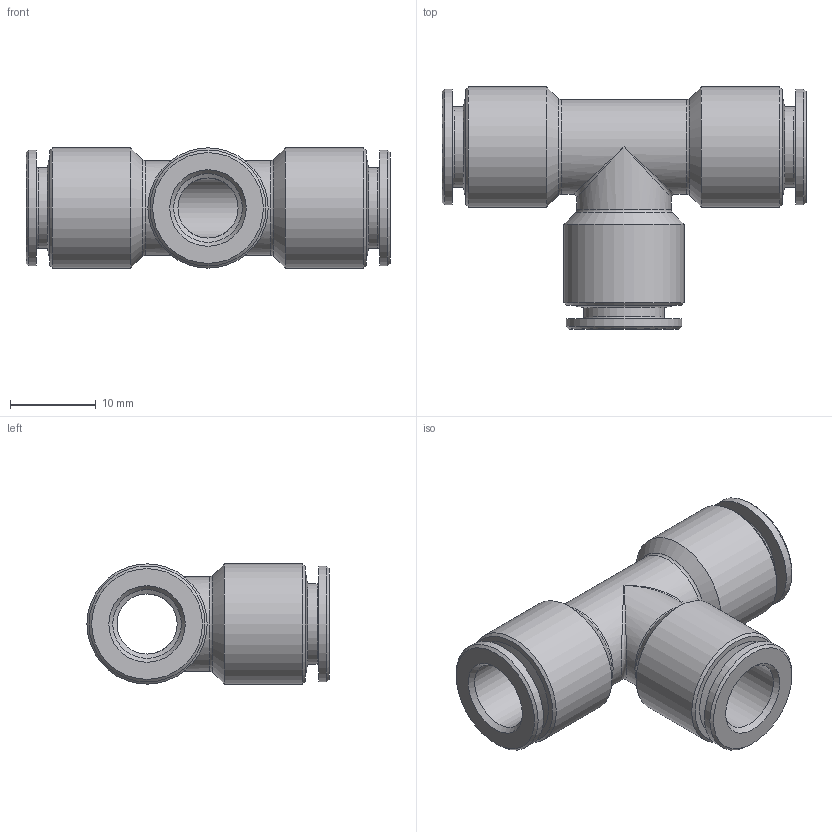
import cadquery as cq
import math


PIPE_RADIUS = 5.5
PIPE_BORE_RADIUS = 3.5
CROTCH_FILLET = 0.4

BODY_RADIUS = 7.0
BODY_START = 9.0
BODY_CHAMFER_START = 18.15
BODY_CHAMFER = 0.3
END_FACE_INNER_RADIUS = 6.0
END_FACE_RISE = 0.25
SHOULDER_ANGLE = math.radians(45)
SHOULDER_START = BODY_START - (BODY_RADIUS - PIPE_RADIUS) / math.tan(SHOULDER_ANGLE)
SHOULDER_FILLET = 0.5

PORT_LENGTH = 21.2
FLANGE_RADIUS = 6.75
FLANGE_THICKNESS = 1.2
FLANGE_CHAMFER = 0.3
NECK_RADIUS = 4.7
NECK_FILLET = 0.2

TUBE_RADIUS = 4.0
ENTRY_CHAMFER_WIDTH = 0.45
ENTRY_CHAMFER_DEPTH = 0.6
SOCKET_STOP = 7.0
SOCKET_CONE_LENGTH = 0.3

BRANCH_ANGLE = 270
PORT_ANGLES = (0, 180, BRANCH_ANGLE)


def revolve_about_x(profile):
    return profile.close().revolve(360, (0, 0, 0), (1, 0, 0))


def turn_to(shape, angle):
    """Turn a shape that points along +X to another direction in the XY plane."""
    return shape.rotate((0, 0, 0), (0, 0, 1), angle)


def make_tee_pipe():
    """Run and branch pipes, joined with a fillet along their mitred crotch."""
    run = cq.Workplane("YZ").circle(PIPE_RADIUS).extrude(BODY_START, both=True)
    branch = turn_to(cq.Workplane("YZ").circle(PIPE_RADIUS).extrude(BODY_START), BRANCH_ANGLE)
    tee = run.union(branch)
    return tee.edges("%ELLIPSE").fillet(CROTCH_FILLET)


def make_port():
    """Outer form of one port along +X: shoulder, body and release collar."""
    half_turn = SHOULDER_ANGLE / 2
    tangent = SHOULDER_FILLET * math.tan(half_turn)
    arc_run = SHOULDER_FILLET * math.sin(half_turn)
    arc_rise = SHOULDER_FILLET * (1 - math.cos(half_turn))
    fillet_start = SHOULDER_START - tangent
    fillet_end = SHOULDER_START + tangent * math.cos(SHOULDER_ANGLE)
    fillet_end_radius = PIPE_RADIUS + tangent * math.sin(SHOULDER_ANGLE)

    body_end = BODY_CHAMFER_START + BODY_CHAMFER
    flange_back = PORT_LENGTH - FLANGE_THICKNESS
    neck_end = flange_back - NECK_FILLET

    profile = (
        cq.Workplane("XY")
        .moveTo(fillet_start, 0)
        .lineTo(fillet_start, PIPE_RADIUS)
        .threePointArc(
            (fillet_start + arc_run, PIPE_RADIUS + arc_rise),
            (fillet_end, fillet_end_radius),
        )
        .lineTo(BODY_START, BODY_RADIUS)
        .lineTo(BODY_CHAMFER_START, BODY_RADIUS)
        .lineTo(body_end, BODY_RADIUS - BODY_CHAMFER)
        .lineTo(body_end, END_FACE_INNER_RADIUS)
        .lineTo(body_end + END_FACE_RISE, NECK_RADIUS)
        .lineTo(neck_end, NECK_RADIUS)
        .radiusArc((flange_back, NECK_RADIUS + NECK_FILLET), -NECK_FILLET)
        .lineTo(flange_back, FLANGE_RADIUS)
        .lineTo(PORT_LENGTH - FLANGE_CHAMFER, FLANGE_RADIUS)
        .lineTo(PORT_LENGTH, FLANGE_RADIUS - FLANGE_CHAMFER)
        .lineTo(PORT_LENGTH, 0)
    )
    return revolve_about_x(profile)


def make_bore():
    """Hollow of one port along +X: pipe bore, tube socket and chamfered entry."""
    profile = (
        cq.Workplane("XY")
        .lineTo(0, PIPE_BORE_RADIUS)
        .lineTo(SOCKET_STOP - SOCKET_CONE_LENGTH, PIPE_BORE_RADIUS)
        .lineTo(SOCKET_STOP, TUBE_RADIUS)
        .lineTo(PORT_LENGTH - ENTRY_CHAMFER_DEPTH, TUBE_RADIUS)
        .lineTo(PORT_LENGTH, TUBE_RADIUS + ENTRY_CHAMFER_WIDTH)
        .lineTo(PORT_LENGTH, 0)
    )
    return revolve_about_x(profile)


port = make_port()
bore = make_bore()
result = make_tee_pipe()
for angle in PORT_ANGLES:
    result = result.union(turn_to(port, angle))
for angle in PORT_ANGLES:
    result = result.cut(turn_to(bore, angle))